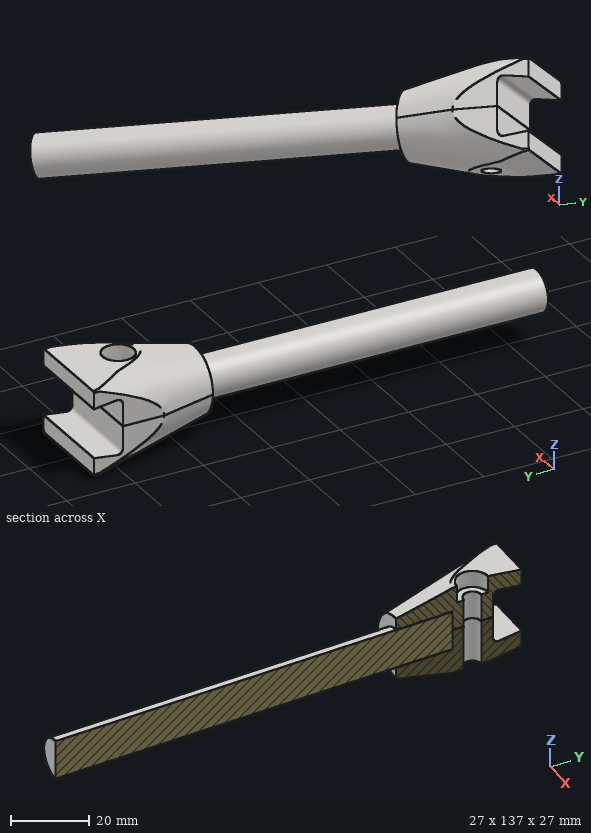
import cadquery as cq

overall_length = 137.0
head_length = 37.0
head_width = 27.0
rod_diameter = 12.0
socket_depth = 16.7

tip_y = overall_length
rear_y = tip_y - head_length
half_width = head_width / 2

rear_radius = 9.6
taper_length = 16.5
taper_slope = (half_width - rear_radius) / taper_length
tip_radius = 18.0
cone_length = (tip_radius - rear_radius) / taper_slope
tip_half_height = 12.2
nose_length = 9.2

slot_depth = 8.5
slot_mouth_half_height = 7.1
slot_base_half_height = 8.2
slot_corner_radius = 1.6

screw_from_tip = 14.5
screw_diameter = 5.1
counterbore_diameter = 9.0
counterbore_depth = 5.1


def cylinder_y(radius, start_y, length):
    """Solid cylinder on the Y axis."""
    return cq.Workplane("XZ", origin=(0, start_y, 0)).circle(radius).extrude(-length)


def head_envelope():
    """Cone with a short cylindrical end, trimmed by side flats and by sloping-nosed top and bottom flats."""
    turned_blank = (
        cq.Workplane("XY")
        .moveTo(0, rear_y)
        .lineTo(rear_radius, rear_y)
        .lineTo(tip_radius, rear_y + cone_length)
        .lineTo(tip_radius, tip_y)
        .lineTo(0, tip_y)
        .close()
        .revolve(360, (0, 0, 0), (0, 1, 0))
    )
    flats = (
        cq.Workplane("YZ")
        .polyline([
            (rear_y, -half_width),
            (tip_y - nose_length, -half_width),
            (tip_y, -tip_half_height),
            (tip_y, tip_half_height),
            (tip_y - nose_length, half_width),
            (rear_y, half_width),
        ])
        .close()
        .extrude(half_width, both=True)
    )
    return turned_blank.intersect(flats)


def fork_slot():
    """Undercut opening at the tip, with rounded inner corners."""
    base_y = tip_y - slot_depth
    return (
        cq.Workplane("YZ")
        .polyline([
            (tip_y, -slot_mouth_half_height),
            (base_y, -slot_base_half_height),
            (base_y, slot_base_half_height),
            (tip_y, slot_mouth_half_height),
        ])
        .close()
        .extrude(head_width, both=True)
        .edges("|X and <Y")
        .fillet(slot_corner_radius)
    )


def screw_hole():
    """Vertical through hole with a counterbore in the upper jaw."""
    screw_y = tip_y - screw_from_tip
    through = (
        cq.Workplane("XY", origin=(0, screw_y, 0))
        .circle(screw_diameter / 2)
        .extrude(head_width, both=True)
    )
    counterbore = (
        cq.Workplane("XY", origin=(0, screw_y, half_width - counterbore_depth))
        .circle(counterbore_diameter / 2)
        .extrude(head_width)
    )
    return through.union(counterbore)


def jaw(head, side):
    """Half of the head: side is +1 for the upper jaw and -1 for the lower jaw."""
    half_space = cq.Workplane("XY").box(
        2 * head_width, head_length, head_width, centered=(True, False, True)
    ).translate((0, rear_y, side * head_width / 2))
    return head.intersect(half_space)


rod = cylinder_y(rod_diameter / 2, 0, rear_y + socket_depth)
head = head_envelope().cut(fork_slot()).cut(screw_hole()).cut(rod)
jaws = [jaw(head, side) for side in (1, -1)]

result = cq.Compound.makeCompound([rod.val(), *[half.val() for half in jaws]])